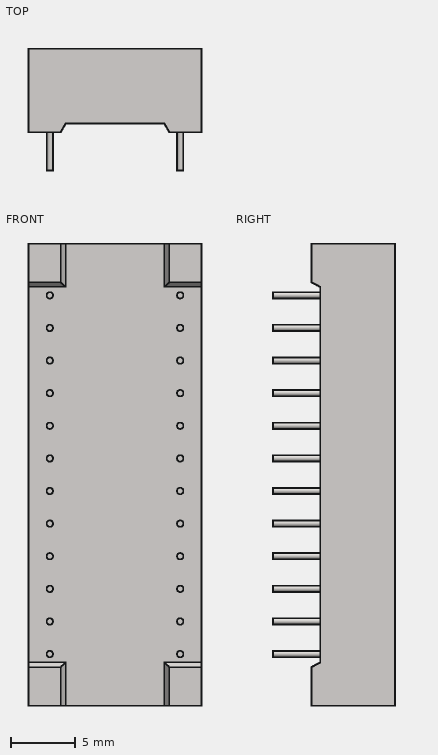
import cadquery as cq

body_width = 13.5
body_length = 36.0
total_depth = 9.5
foot_height = 0.7
pin_beyond_feet = 3.0
body_depth = total_depth - pin_beyond_feet - foot_height

foot_tip_width = 2.52
foot_tip_length = 3.02
foot_slope_x = 0.4
foot_slope_z = 0.35

pins_per_row = 12
pin_diameter = 0.5
row_spacing = 10.15
row_length = 27.95
pin_pitch = row_length / (pins_per_row - 1)
pin_length = foot_height + pin_beyond_feet


def make_body():
    return cq.Workplane("XY").box(body_width, body_depth, body_length, centered=(True, False, True))


def make_foot(side_x, side_z):
    """Foot in the corner given by the signs side_x and side_z."""
    corner_x = side_x * body_width / 2
    corner_z = side_z * body_length / 2
    root_x = corner_x - side_x * (foot_tip_width + foot_slope_x)
    root_z = corner_z - side_z * (foot_tip_length + foot_slope_z)
    tip_x = corner_x - side_x * foot_tip_width
    tip_z = corner_z - side_z * foot_tip_length
    root_outline = [(corner_x, corner_z), (root_x, corner_z), (root_x, root_z), (corner_x, root_z)]
    tip_outline = [(corner_x, corner_z), (tip_x, corner_z), (tip_x, tip_z), (corner_x, tip_z)]
    return (
        cq.Workplane("XZ")
        .polyline(root_outline)
        .close()
        .workplane(offset=foot_height)
        .polyline(tip_outline)
        .close()
        .loft(ruled=True)
    )


def make_pins():
    return (
        cq.Workplane("XZ")
        .rarray(row_spacing, pin_pitch, 2, pins_per_row)
        .circle(pin_diameter / 2)
        .extrude(pin_length)
    )


result = make_body()
for foot_side_x in (-1, 1):
    for foot_side_z in (-1, 1):
        result = result.union(make_foot(foot_side_x, foot_side_z))
result = result.union(make_pins())